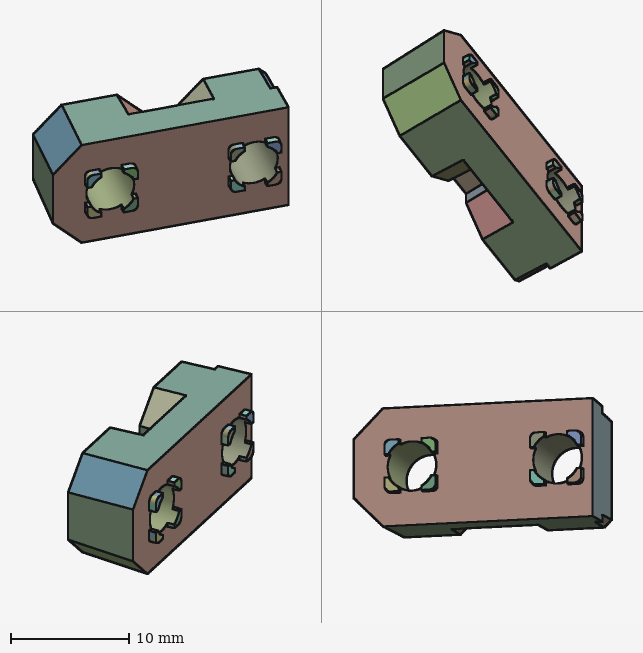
import cadquery as cq
import math

length = 20.87
height = 10.16
total_thickness = 7.03
stud_height = 0.65
body_thickness = total_thickness - stud_height
draft_angle = 2.0
draft = math.tan(math.radians(draft_angle))

corner_leg = 2.55
hole_diameter = 4.24
hole_spacing = 12.7
end_hole_y = height / 2 - length / 2
square_end_hole_y = end_hole_y + hole_spacing

recess_depth = 3.15
waist_offset = 0.05
waist_y = (end_hole_y + square_end_hole_y) / 2 + waist_offset
neck_width = 2.65
neck_shoulder_z = 2.35
web_height = 1.95
notch_leg = 0.65

stud_inner = 0.98
stud_outer = 2.25
stud_corner_radius = 0.5

front_x = -total_thickness / 2
back_x = front_x + body_thickness
margin = 1.05


def drafted_prism(front_points, rear_points, depth):
    """Straight-sided solid from an outline at the front face to one deeper in."""
    return (
        cq.Workplane("YZ", origin=(front_x, 0, 0))
        .polyline(front_points).close()
        .workplane(offset=depth)
        .polyline(rear_points).close()
        .loft(ruled=True)
    )


def body_outline(inset):
    """Rectangle with cut -Y corners; the +Y end has no draft."""
    top = height / 2 - inset
    end = -length / 2 + inset
    return [
        (length / 2, -top),
        (length / 2, top),
        (end + corner_leg, top),
        (end, top - corner_leg),
        (end, corner_leg - top),
        (end + corner_leg, -top),
    ]


def waist_outline(inset):
    """Upper waist pocket: a straight neck flaring at 45 degrees to the edge."""
    half_neck = neck_width / 2 - inset
    shoulder = neck_shoulder_z + inset * math.tan(math.radians(22.5))
    mouth = height / 2 + margin
    half_mouth = half_neck + mouth - shoulder
    return [
        (waist_y - half_neck, web_height / 2),
        (waist_y - half_neck, shoulder),
        (waist_y - half_mouth, mouth),
        (waist_y + half_mouth, mouth),
        (waist_y + half_neck, shoulder),
        (waist_y + half_neck, web_height / 2),
    ]


def notch_outline(inset):
    """45 degree cut across the upper +Y corner, moved outward by the inset."""
    front_top = height / 2 - draft * body_thickness
    diagonal_sum = length / 2 + front_top - notch_leg + inset * math.sqrt(2)
    far_y = length / 2 + margin
    far_z = height / 2 + margin
    return [
        (far_y, diagonal_sum - far_y),
        (far_y, far_z),
        (diagonal_sum - far_z, far_z),
    ]


body = drafted_prism(body_outline(draft * body_thickness), body_outline(0), body_thickness)

for outline in (waist_outline, notch_outline):
    cutter = drafted_prism(outline(0), outline(draft * recess_depth), recess_depth)
    body = body.cut(cutter).cut(cutter.mirror("XY"))

stud_size = stud_outer - stud_inner
stud_offset = (stud_inner + stud_outer) / 2
for hole_y in (end_hole_y, square_end_hole_y):
    for y_side in (-1, 1):
        for z_side in (-1, 1):
            outer_edge = cq.selectors.NearestToPointSelector(
                (back_x + stud_height / 2, hole_y + y_side * stud_outer, z_side * stud_outer)
            )
            stud = (
                cq.Workplane("YZ", origin=(back_x, 0, 0))
                .center(hole_y + y_side * stud_offset, z_side * stud_offset)
                .rect(stud_size, stud_size)
                .extrude(stud_height, taper=draft_angle)
                .edges(outer_edge)
                .fillet(stud_corner_radius)
            )
            body = body.union(stud)

holes = (
    cq.Workplane("YZ", origin=(front_x, 0, 0))
    .pushPoints([(end_hole_y, 0), (square_end_hole_y, 0)])
    .circle(hole_diameter / 2)
    .extrude(total_thickness)
)
result = body.cut(holes)